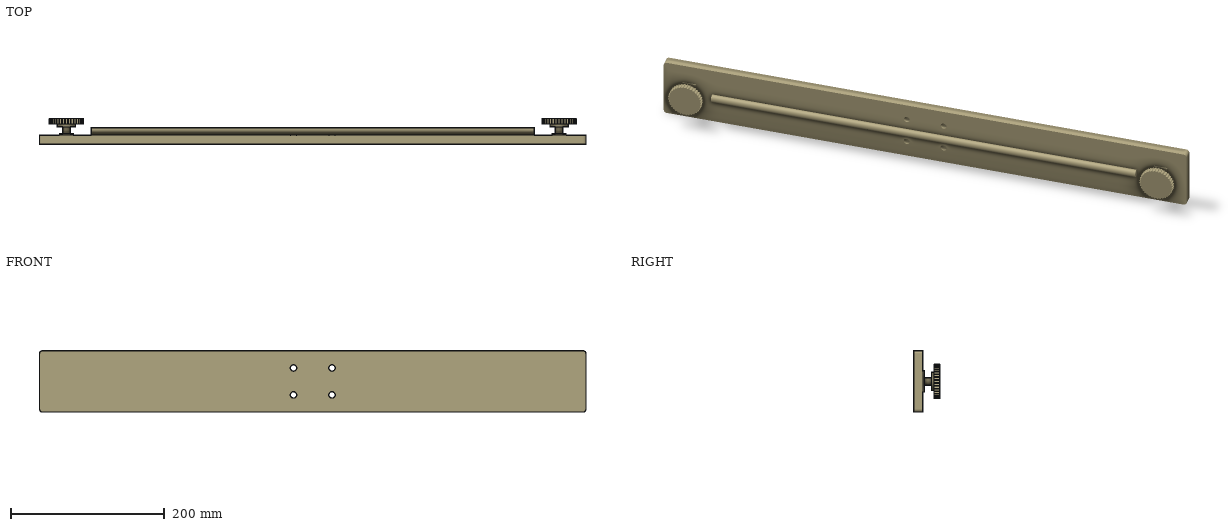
import cadquery as cq

plate_length = 710.0
plate_depth = 12.0
plate_height = 80.0
plate_corner_radius = 4.0

hole_diameter = 8.0
hole_spacing_x = 50.0
hole_spacing_z = 35.0

rail_length = 576.0
rail_diameter = 10.0
rail_sink = 0.1

overall_depth = 33.8
knob_spacing = 640.0
pad_width = 18.0
pad_height = 28.0
pad_thickness = 2.0
stem_diameter = 10.0
collar_diameter = 24.0
collar_thickness = 3.5
wheel_diameter = 45.0
wheel_thickness = 7.5
wheel_chamfer = 0.5
wheel_scallops = 36
scallop_diameter = 3.0


def back_plane(depth):
    """Plane parallel to the plate, facing +Y, at the given distance from the front face."""
    return cq.Workplane(cq.Plane(origin=(0, depth, 0), xDir=(1, 0, 0), normal=(0, 1, 0)))


def make_plate():
    plate = back_plane(0).rect(plate_length, plate_height).extrude(plate_depth)
    plate = plate.edges("|Y").fillet(plate_corner_radius)
    holes = back_plane(0).rect(hole_spacing_x, hole_spacing_z, forConstruction=True).vertices()
    return plate.cut(holes.circle(hole_diameter / 2).extrude(plate_depth))


def make_rail():
    axis_depth = plate_depth + rail_diameter / 2 - rail_sink
    end_plane = cq.Plane(origin=(-rail_length / 2, axis_depth, 0), xDir=(0, 0, 1), normal=(1, 0, 0))
    return cq.Workplane(end_plane).circle(rail_diameter / 2).extrude(rail_length)


def make_knob():
    wheel_depth = overall_depth - wheel_thickness
    collar_depth = wheel_depth - collar_thickness
    pad = back_plane(plate_depth).rect(pad_width, pad_height).extrude(pad_thickness)
    stem = back_plane(plate_depth).circle(stem_diameter / 2).extrude(wheel_depth - plate_depth)
    collar = back_plane(collar_depth).circle(collar_diameter / 2).extrude(collar_thickness)
    wheel = back_plane(wheel_depth).circle(wheel_diameter / 2).extrude(wheel_thickness)
    wheel = wheel.edges().chamfer(wheel_chamfer)
    scallops = back_plane(wheel_depth).polarArray(wheel_diameter / 2, 0, 360, wheel_scallops)
    wheel = wheel.cut(scallops.circle(scallop_diameter / 2).extrude(wheel_thickness))
    return pad.union(stem).union(collar).union(wheel)


result = make_plate().union(make_rail())
for side in (-1, 1):
    result = result.union(make_knob().translate((side * knob_spacing / 2, 0, 0)))